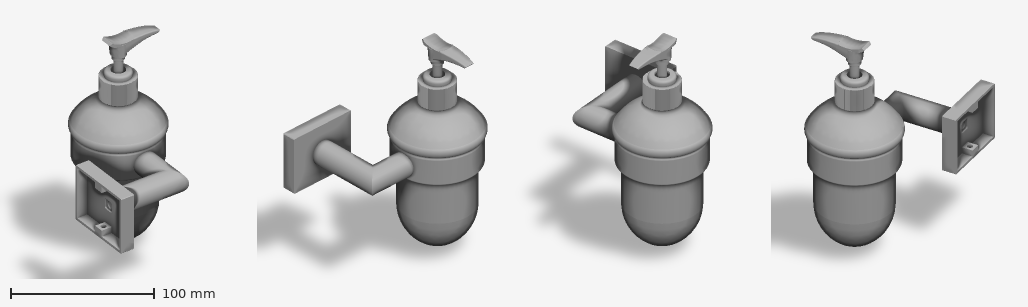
import cadquery as cq
import math


bottle_radius = 28.8
bottle_shoulder_z = 33.6
bead_radius = 35.1
bead_round = 4.8
bead_top_radius = 33.6
dome_middle_radius = 24.6
dome_middle_z = 108.2
neck_radius = 11.2
neck_base_z = 115.2
neck_top_z = 131.0

ring_radius = 33.3
ring_height = 22.0
ring_top_z = 89.8
ring_round = 1.3

plate_width = 55
plate_height = 45.1
plate_depth = 11.0
plate_front_y = -61.3
plate_center_x = 62.5
plate_wall = 2.0
plate_floor = 2.5
plate_corner_chamfer = 0.5
lug_width = 8.0
lug_height = 5
lug_hole_diameter = 4.3
recess_size = 8.5
recess_corner = 1.5
recess_depth = 1.3
screw_hole_diameter = 5.7

tube_radius = 9.5
tube_wall = 1.0

cap_radius = 13.8
cap_bottom_z = 117.4
cap_top_z = 134.7
tooth_count = 120
tooth_depth = 0.5

collar_radius = 10.2
collar_top_z = 139.2
collar_round = 2.2
collar_hole_radius = 5.5

stem_radius = 3.5
skirt_radius = 4.7
skirt_bottom_z = 148.7
body_bottom_z = 152.4
body_top_z = 162.7
body_bottom_half_x = 6.7
body_bottom_half_y = 5.7
body_top_half_x = 6.8
body_top_half_y = 7.2
spout_half_width = 6.5
spout_middle_half_width = 5.3
spout_tip_half_width = 3.8
spout_taper_y = 11.0
spout_middle_y = 22.5
spout_tip_y = 33.1
spout_top_z = 164.9
spout_middle_z = 164.2
spout_tip_z = 161.7
spout_tip_slope = -0.4
spout_tip_bottom_z = 159.5
spout_belly = [(25, 159.9), (16.7, 159.2), (8.7, 157.0), (0, 153.2)]
spout_round = 1.0
spout_slant = 2.2
pad_front_y = -10.7
pad_crest_y = -9.0
pad_back_y = 9.0
pad_top_z = 164.9
pad_belly = [(pad_back_y, 161.5), (-1.7, 162.2), (-7.0, 162.9), (-9.3, 163.7)]
pad_corner_x = 1.8
pad_corner_y = 3.7
scoop_radius = 26.1
scoop_center_y = 3.2
scoop_bottom_z = 163.7
scoop_side_end_y = 8.7
scoop_middle_end_y = 11.0

total_height = 166.5
ring_bottom_z = ring_top_z - ring_height
arm_z = (ring_top_z + ring_bottom_z) / 2
plate_back_y = plate_front_y + plate_depth


def make_bottle():
    """Solid of revolution: pointed round bottom, straight side, bead, dome and neck."""
    bottom_round = (bottle_radius**2 + bottle_shoulder_z**2) / (2 * bottle_radius)
    half_angle = math.asin(bottle_shoulder_z / bottom_round) / 2
    bottom_middle = (
        bottle_radius - bottom_round * (1 - math.cos(half_angle)),
        bottle_shoulder_z - bottom_round * math.sin(half_angle),
    )
    bead_center_radius = bead_radius - bead_round
    bead_z = ring_top_z + bead_round
    bead_top_z = bead_z + math.sqrt(bead_round**2 - (bead_top_radius - bead_center_radius) ** 2)
    profile = (
        cq.Workplane("XZ")
        .moveTo(0, 0)
        .threePointArc(bottom_middle, (bottle_radius, bottle_shoulder_z))
        .lineTo(bottle_radius, ring_top_z)
        .lineTo(bead_center_radius, ring_top_z)
        .threePointArc((bead_radius, bead_z), (bead_top_radius, bead_top_z))
        .threePointArc((dome_middle_radius, dome_middle_z), (neck_radius, neck_base_z))
        .lineTo(neck_radius, neck_top_z)
        .lineTo(0, neck_top_z)
        .close()
    )
    return profile.revolve(360, (0, 0, 0), (0, 1, 0))


def make_ring():
    """Holder ring with rounded outer edges, bored to the bottle."""
    ring = cq.Workplane("XY").workplane(offset=ring_bottom_z).circle(ring_radius).extrude(ring_height)
    ring = ring.faces("<Z or >Z").edges().fillet(ring_round)
    bore = cq.Workplane("XY").workplane(offset=ring_bottom_z).circle(bottle_radius).extrude(ring_height)
    return ring.cut(bore)


def mitred_rod(radius):
    """Round rod from the bottle axis along +X to a mitred corner, then along -Y to the plate."""
    path = (
        cq.Workplane("XY", origin=(0, 0, arm_z))
        .moveTo(0, 0)
        .lineTo(plate_center_x, 0)
        .lineTo(plate_center_x, plate_back_y)
    )
    return cq.Workplane("YZ", origin=(0, 0, arm_z)).circle(radius).sweep(path, transition="right")


def make_arm():
    """Hollow mitred tube that ends on the outside of the ring."""
    tube = mitred_rod(tube_radius).cut(mitred_rod(tube_radius - tube_wall))
    ring_space = cq.Workplane("XY").circle(ring_radius).extrude(total_height)
    return tube.cut(ring_space)


def make_plate():
    """Shallow rectangular tray with two lugs and a recessed screw hole."""
    front = cq.Workplane("XZ", origin=(plate_center_x, plate_front_y, arm_z))
    pocket_depth = plate_depth - plate_floor
    plate = front.rect(plate_width, plate_height).extrude(-plate_depth)
    plate = plate.edges("|Y").chamfer(plate_corner_chamfer)
    pocket = front.rect(plate_width - 2 * plate_wall, plate_height - 2 * plate_wall).extrude(-pocket_depth)
    plate = plate.cut(pocket)

    lug_offset = plate_height / 2 - plate_wall - lug_height / 2
    lug_places = [(0, lug_offset), (0, -lug_offset)]
    lugs = front.pushPoints(lug_places).rect(lug_width, lug_height).extrude(-pocket_depth)
    plate = plate.union(lugs)

    lug_y = plate_front_y + pocket_depth / 2
    lug_hole = (
        cq.Workplane("XY", origin=(plate_center_x, lug_y, arm_z - plate_height / 2))
        .circle(lug_hole_diameter / 2)
        .extrude(plate_wall + lug_height)
    )
    floor = front.workplane(offset=-pocket_depth)
    recess = floor.rect(recess_size, recess_size).extrude(-recess_depth).edges("|Y").fillet(recess_corner)
    screw_hole = floor.circle(screw_hole_diameter / 2).extrude(-plate_floor)
    return plate.cut(lug_hole).cut(recess).cut(screw_hole)


def make_cap():
    """Cap with V-shaped teeth around it, bored for the neck and the collar."""
    points = []
    for i in range(2 * tooth_count):
        angle = math.pi * i / tooth_count
        radius = cap_radius - tooth_depth * (i % 2)
        points.append((radius * math.cos(angle), radius * math.sin(angle)))
    cap = (
        cq.Workplane("XY")
        .workplane(offset=cap_bottom_z)
        .polyline(points)
        .close()
        .extrude(cap_top_z - cap_bottom_z)
    )
    neck_bore = cq.Workplane("XY").circle(neck_radius).extrude(neck_top_z)
    collar_bore = cq.Workplane("XY").circle(collar_radius).extrude(cap_top_z)
    return cap.cut(neck_bore).cut(collar_bore)


def make_collar():
    """Rounded collar that stands on the neck, with clearance around the stem."""
    return (
        cq.Workplane("XY")
        .workplane(offset=neck_top_z)
        .circle(collar_radius)
        .extrude(collar_top_z - neck_top_z)
        .faces(">Z")
        .edges()
        .fillet(collar_round)
        .cut(cq.Workplane("XY").circle(collar_hole_radius).extrude(total_height))
    )


def make_spout():
    """Tapered spout that curves down to its tip, with rounded long edges and a slanted end."""
    side = (
        cq.Workplane("YZ", origin=(-spout_half_width, 0, 0))
        .moveTo(0, spout_top_z)
        .lineTo(spout_taper_y, spout_top_z)
        .spline(
            [(spout_middle_y, spout_middle_z), (spout_tip_y, spout_tip_z)],
            tangents=[(1, 0), (1, spout_tip_slope)],
            includeCurrent=True,
        )
        .lineTo(spout_tip_y, spout_tip_bottom_z)
        .spline(spout_belly, includeCurrent=True)
        .close()
        .extrude(2 * spout_half_width)
    )
    plan = (
        cq.Workplane("XY")
        .moveTo(-spout_half_width, 0)
        .lineTo(-spout_half_width, spout_taper_y)
        .threePointArc((-spout_middle_half_width, spout_middle_y), (-spout_tip_half_width, spout_tip_y))
        .lineTo(spout_tip_half_width, spout_tip_y)
        .threePointArc((spout_middle_half_width, spout_middle_y), (spout_half_width, spout_taper_y))
        .lineTo(spout_half_width, 0)
        .close()
        .extrude(total_height)
    )
    spout = side.intersect(plan)
    spout = spout.faces("|X").edges("not(|Z)").fillet(spout_round)
    slant = (
        cq.Workplane("YZ", origin=(-spout_half_width, 0, 0))
        .moveTo(spout_tip_y, spout_tip_z)
        .lineTo(spout_tip_y, spout_tip_z - 2 * spout_slant)
        .lineTo(spout_tip_y - 2 * spout_slant, spout_tip_z - 2 * spout_slant)
        .close()
        .extrude(2 * spout_half_width)
    )
    return spout.cut(slant)


def make_pad():
    """Thumb pad that rises towards -Y, before its top is scooped."""
    pad = (
        cq.Workplane("YZ", origin=(-spout_half_width, 0, 0))
        .moveTo(pad_front_y, pad_top_z)
        .lineTo(pad_crest_y, total_height)
        .lineTo(0, total_height)
        .lineTo(pad_back_y, pad_top_z)
        .polyline(pad_belly, includeCurrent=True)
        .close()
        .extrude(2 * spout_half_width)
    )
    plan = (
        cq.Workplane("XY")
        .moveTo(-spout_half_width, pad_back_y)
        .lineTo(-spout_half_width, pad_front_y + pad_corner_y)
        .lineTo(-spout_half_width + pad_corner_x, pad_front_y)
        .lineTo(spout_half_width - pad_corner_x, pad_front_y)
        .lineTo(spout_half_width, pad_front_y + pad_corner_y)
        .lineTo(spout_half_width, pad_back_y)
        .close()
        .extrude(total_height)
    )
    return pad.intersect(plan)


def make_scoop():
    """Cylindrical hollow across the thumb pad that ends in an arc on the spout side."""
    cylinder = (
        cq.Workplane("YZ", origin=(-spout_half_width, 0, 0))
        .center(scoop_center_y, scoop_bottom_z + scoop_radius)
        .circle(scoop_radius)
        .extrude(2 * spout_half_width)
    )
    plan = (
        cq.Workplane("XY")
        .moveTo(-spout_half_width, pad_front_y)
        .lineTo(-spout_half_width, scoop_side_end_y)
        .threePointArc((0, scoop_middle_end_y), (spout_half_width, scoop_side_end_y))
        .lineTo(spout_half_width, pad_front_y)
        .close()
        .extrude(total_height)
    )
    return cylinder.intersect(plan)


def make_pump():
    """Stem, skirt, flaring body, spout and thumb pad as one piece."""
    stem = (
        cq.Workplane("XY")
        .workplane(offset=neck_top_z)
        .circle(stem_radius)
        .extrude(body_bottom_z - neck_top_z)
    )
    skirt = (
        cq.Workplane("XY")
        .workplane(offset=skirt_bottom_z)
        .circle(skirt_radius)
        .extrude(body_bottom_z - skirt_bottom_z)
    )
    body = (
        cq.Workplane("XY")
        .workplane(offset=body_bottom_z)
        .ellipse(body_bottom_half_x, body_bottom_half_y)
        .workplane(offset=body_top_z - body_bottom_z)
        .ellipse(body_top_half_x, body_top_half_y)
        .loft()
    )
    return body.union(skirt).union(stem).union(make_spout()).union(make_pad()).cut(make_scoop())


bottle = make_bottle()
ring = make_ring()
arm = make_arm()
plate = make_plate()
cap = make_cap()
collar = make_collar()
pump = make_pump()

bodies = [bottle, ring, arm, plate, cap, collar, pump]
result = cq.Compound.makeCompound([body.solids().val() for body in bodies])